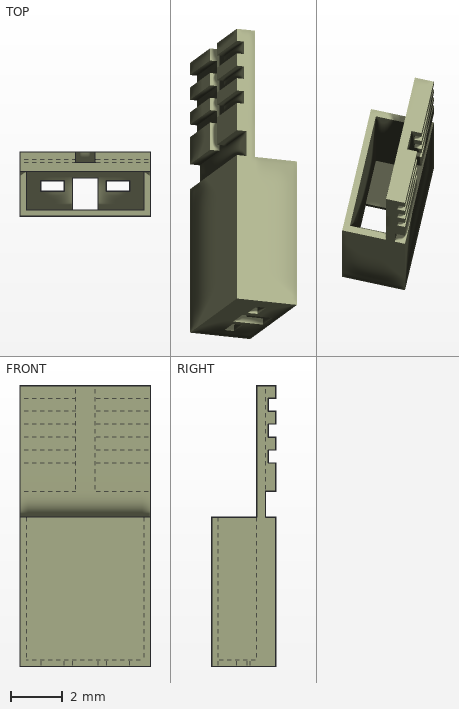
import cadquery as cq

width = 5.08
depth = 2.5
height = 10.9

box_height = 5.8
wall = 0.25
floor_thickness = wall

plate_thickness = 0.75

groove_count = 3
top_land = 0.49
groove_height = 0.5
groove_depth = 0.29
groove_pitch = 2 * groove_height

neck_height = 1.0
relief_depth = 0.4
slot_width = 0.76

window_width = 0.98
window_depth = 1.23
contact_width = 0.9
contact_depth = 0.4
contact_spacing = 2.54
contact_from_front = 1.18

cavity_front = wall
cavity_back = depth - plate_thickness


def block(x_size, y_min, y_max, z_min, z_max, x_center=0.0):
    """Axis-aligned block centred on x_center."""
    return (
        cq.Workplane("XY")
        .box(x_size, y_max - y_min, z_max - z_min, centered=(True, False, False))
        .translate((x_center, y_min, z_min))
    )


def box_and_plate():
    """L-shaped body with the cavity removed from the box."""
    box = block(width, 0, depth, 0, box_height)
    plate = block(width, cavity_back, depth, 0, height)
    cavity = block(width - 2 * wall, cavity_front, cavity_back, floor_thickness, box_height)
    return box.union(plate).cut(cavity)


def cut_back_grooves(body):
    """Grip grooves, neck relief and vertical slot on the back of the plate."""
    for index in range(groove_count):
        groove_top = height - top_land - index * groove_pitch
        groove_bottom = groove_top - groove_height
        body = body.cut(block(width, depth - groove_depth, depth, groove_bottom, groove_top))

    relief_front = depth - relief_depth
    neck_top = box_height + neck_height
    body = body.cut(block(width, relief_front, depth, box_height, neck_top))
    return body.cut(block(slot_width, relief_front, depth, neck_top, height))


def cut_floor_openings(body):
    """Central window against the front wall, with a contact slot on each side."""
    window_back = cavity_front + window_depth
    body = body.cut(block(window_width, cavity_front, window_back, 0, floor_thickness))

    contact_front = contact_from_front - contact_depth / 2
    contact_back = contact_from_front + contact_depth / 2
    for side in (-1, 1):
        x_center = side * contact_spacing / 2
        body = body.cut(block(contact_width, contact_front, contact_back, 0, floor_thickness, x_center))
    return body


result = cut_floor_openings(cut_back_grooves(box_and_plate()))